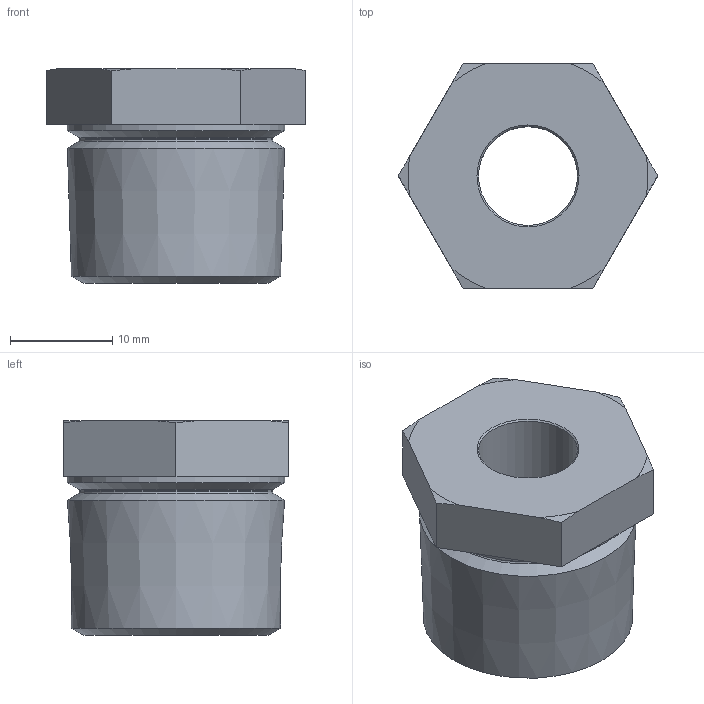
import cadquery as cq
import math

total_height = 21.0

hex_across_flats = 22.0
hex_half_sector = math.radians(30)
hex_across_corners = hex_across_flats / math.cos(hex_half_sector)
head_height = 5.5
head_chamfer_radius = 11.75
head_chamfer_angle = math.radians(12)

flank_angle = math.radians(30)
collar_radius = 10.65
collar_height = 0.55
groove_root_radius = 9.45
groove_root_fillet = 0.2
groove_root_flat = 0.08
taper_height = 12.5
taper_per_side = 1 / 32
taper_large_radius = 10.635
end_chamfer_height = 0.7

bore_radius = 4.85
bore_mouth_radius = 5.0
bore_chamfer = bore_mouth_radius - bore_radius

head_bottom = total_height - head_height
collar_bottom = head_bottom - collar_height
taper_bottom = end_chamfer_height
taper_top = taper_bottom + taper_height


def make_head():
    """Hexagon with corners on the X axis and a conical chamfer on its top corners."""
    hexagon = (
        cq.Workplane("XY", origin=(0, 0, head_bottom))
        .polygon(6, hex_across_corners)
        .extrude(head_height)
    )
    corner_radius = hex_across_corners / 2
    chamfer_drop = (corner_radius - head_chamfer_radius) * math.tan(head_chamfer_angle)
    envelope = (
        cq.Workplane("XZ")
        .moveTo(0, head_bottom)
        .lineTo(corner_radius, head_bottom)
        .lineTo(corner_radius, total_height - chamfer_drop)
        .lineTo(head_chamfer_radius, total_height)
        .lineTo(0, total_height)
        .close()
        .revolve(360, (0, 0, 0), (0, 1, 0))
    )
    return hexagon.intersect(envelope)


def make_shank():
    """Collar, relief groove with sloped flanks, tapered body and chamfered end."""
    taper_small_radius = taper_large_radius - taper_height * taper_per_side
    end_radius = taper_small_radius - end_chamfer_height / math.tan(flank_angle)
    flank_foot_radius = groove_root_radius + groove_root_fillet * (1 - math.sin(flank_angle))
    fillet_height = groove_root_fillet * math.cos(flank_angle)
    upper_foot = collar_bottom - (collar_radius - flank_foot_radius) * math.tan(flank_angle)
    root_top = upper_foot - fillet_height
    root_bottom = root_top - groove_root_flat
    lower_foot = root_bottom - fillet_height
    return (
        cq.Workplane("XZ")
        .lineTo(end_radius, 0)
        .lineTo(taper_small_radius, taper_bottom)
        .lineTo(taper_large_radius, taper_top)
        .lineTo(flank_foot_radius, lower_foot)
        .radiusArc((groove_root_radius, root_bottom), groove_root_fillet)
        .lineTo(groove_root_radius, root_top)
        .radiusArc((flank_foot_radius, upper_foot), groove_root_fillet)
        .lineTo(collar_radius, collar_bottom)
        .lineTo(collar_radius, head_bottom)
        .lineTo(0, head_bottom)
        .close()
        .revolve(360, (0, 0, 0), (0, 1, 0))
    )


def make_bore():
    """Through bore with a small chamfer at its top mouth."""
    return (
        cq.Workplane("XZ")
        .lineTo(bore_radius, 0)
        .lineTo(bore_radius, total_height - bore_chamfer)
        .lineTo(bore_mouth_radius, total_height)
        .lineTo(0, total_height)
        .close()
        .revolve(360, (0, 0, 0), (0, 1, 0))
    )


result = make_head().union(make_shank()).cut(make_bore())